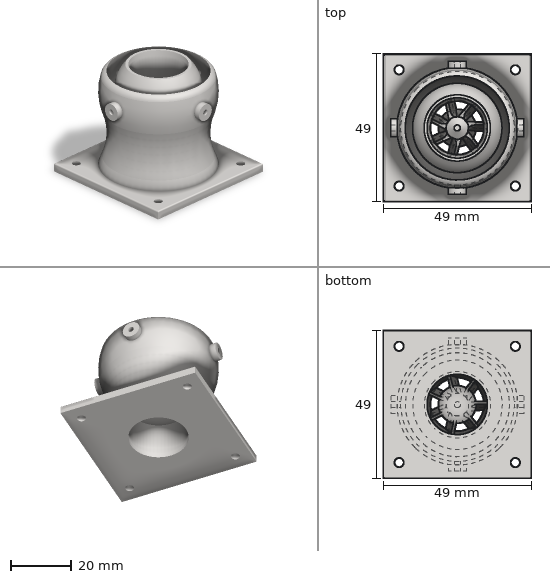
import cadquery as cq
import math

plate_side = 49.0
plate_thickness = 3.0
plate_edge_radius = 0.5
mount_hole_dia = 3.0
mount_hole_pitch = 38.45

bowl_center_z = 30.0
bowl_outer_radius = 20.0
cavity_radius = 18.8
rim_z = 37.55
rim_round_start_z = 35.65

foot_radius = 20.0
neck_bottom_z = 6.25
neck_bottom_radius = 18.7
neck_arc_radius = 23.75
neck_top_z = 23.55

boss_count = 4
boss_dia = 6.0
boss_reach = 22.0
boss_hole_dia = 2.0

floor_opening_dia = 20.0

ball_radius = 14.85
ball_half_height = 10.0
throat_dia = 17.5
mouth_dia = 20.0

blade_height = 6.0
hub_base_dia = 12.55
hub_top_dia = 7.45
nose_tip_dia = 2.0
nose_height = 3.0
blade_count = 7
blade_lean = 2.1
blade_root_front = 2.05
blade_root_back = 0.1
blade_tip_front = 1.95
blade_tip_back = 1.0
blade_flare_end = 5.9

ball_bottom_z = bowl_center_z - ball_half_height
ball_top_z = bowl_center_z + ball_half_height
throat_radius = throat_dia / 2
mouth_radius = mouth_dia / 2
fan_bottom_z = ball_bottom_z
fan_top_z = fan_bottom_z + blade_height


def sphere_section_radius(sphere_radius, height):
    """Radius of the circle that a level plane cuts from a sphere, at a height from its center."""
    return math.sqrt(sphere_radius**2 - height**2)


def cylinder(diameter, bottom_z, top_z):
    return cq.Workplane("XY").workplane(offset=bottom_z).circle(diameter / 2).extrude(top_z - bottom_z)


def revolve_about_z(profile):
    return profile.close().revolve(360, (0, 0, 0), (0, 1, 0))


def make_plate():
    plate = cq.Workplane("XY").box(plate_side, plate_side, plate_thickness, centered=(True, True, False))
    plate = plate.faces(">Z").edges().fillet(plate_edge_radius)
    return (
        plate.faces("<Z").workplane()
        .rect(mount_hole_pitch, mount_hole_pitch, forConstruction=True).vertices()
        .hole(mount_hole_dia)
    )


def make_shell():
    """Solid of revolution with the outside shape of the neck and the bowl."""
    neck_top_radius = sphere_section_radius(bowl_outer_radius, neck_top_z - bowl_center_z)
    round_start_height = rim_round_start_z - bowl_center_z
    round_start_radius = sphere_section_radius(bowl_outer_radius, round_start_height)
    rim_radius = sphere_section_radius(cavity_radius, rim_z - bowl_center_z)
    profile = (
        cq.Workplane("XZ")
        .moveTo(0, 0)
        .lineTo(foot_radius, 0)
        .lineTo(foot_radius, plate_thickness)
        .lineTo(neck_bottom_radius, neck_bottom_z)
        .radiusArc((neck_top_radius, neck_top_z), neck_arc_radius)
        .threePointArc((bowl_outer_radius, bowl_center_z), (round_start_radius, rim_round_start_z))
        .tangentArcPoint((rim_radius, rim_z), relative=False)
        .lineTo(0, rim_z)
    )
    return revolve_about_z(profile)


def radial_cylinder(diameter, angle):
    """Cylinder that lies along a radius, from the cavity wall's depth out to the boss face."""
    inner_end = cavity_radius - boss_hole_dia / 2
    rod = cq.Workplane("YZ", origin=(inner_end, 0, bowl_center_z)).circle(diameter / 2)
    return rod.extrude(boss_reach - inner_end).rotate((0, 0, 0), (0, 0, 1), angle)


def make_housing():
    boss_angles = [360 / boss_count * i for i in range(boss_count)]
    body = make_plate().union(make_shell())
    for angle in boss_angles:
        body = body.union(radial_cylinder(boss_dia, angle))
    cavity = cq.Workplane("XY", origin=(0, 0, bowl_center_z)).sphere(cavity_radius)
    body = body.cut(cavity).cut(cylinder(floor_opening_dia, 0, bowl_center_z))
    for angle in boss_angles:
        body = body.cut(radial_cylinder(boss_hole_dia, angle))
    return body


def make_bore():
    """Air passage of the ball, narrowest at the ball's center and flaring along one arc to both ends."""
    profile = (
        cq.Workplane("XZ")
        .moveTo(0, ball_bottom_z)
        .lineTo(mouth_radius, ball_bottom_z)
        .threePointArc((throat_radius, bowl_center_z), (mouth_radius, ball_top_z))
        .lineTo(0, ball_top_z)
    )
    return revolve_about_z(profile)


def make_ball():
    band = cylinder(2 * ball_radius, ball_bottom_z, ball_top_z)
    sphere = cq.Workplane("XY", origin=(0, 0, bowl_center_z)).sphere(ball_radius)
    return sphere.intersect(band).cut(make_bore())


def make_hub():
    """Hub that flares toward its bottom and has a conical nose."""
    profile = (
        cq.Workplane("XZ")
        .moveTo(0, fan_bottom_z)
        .lineTo(hub_base_dia / 2, fan_bottom_z)
        .radiusArc((hub_top_dia / 2, fan_top_z), blade_height)
        .lineTo(nose_tip_dia / 2, fan_top_z + nose_height)
        .lineTo(0, fan_top_z + nose_height)
    )
    return revolve_about_z(profile)


def make_blade():
    """Leaning blade along +X, with a root that widens toward the hub."""
    hub_radius = hub_top_dia / 2
    outline = (
        cq.Workplane("XY", origin=(0, 0, fan_top_z))
        .moveTo(0, blade_root_front)
        .lineTo(hub_radius, blade_root_front)
        .lineTo(mouth_radius, blade_tip_front)
        .lineTo(mouth_radius, blade_tip_back)
        .lineTo(blade_flare_end, blade_tip_back)
        .tangentArcPoint((hub_radius, blade_root_back), relative=False)
        .lineTo(0, blade_root_back)
        .close()
    )
    lean_direction = cq.Vector(0, -blade_lean, -blade_height)
    return cq.Workplane(cq.Solid.extrudeLinear(outline.val(), [], lean_direction))


def make_fan():
    blade = make_blade()
    fan = make_hub()
    for i in range(blade_count):
        fan = fan.union(blade.rotate((0, 0, 0), (0, 0, 1), 360 / blade_count * i))
    return fan.intersect(make_bore())


housing = make_housing()
ball = make_ball()
fan = make_fan()

result = cq.Compound.makeCompound([housing.val(), ball.val(), fan.val()])